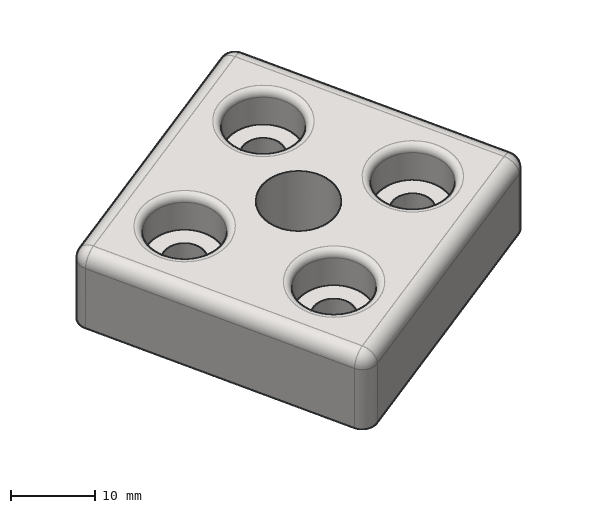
import cadquery as cq

side = 40.0
height = 12.0
edge_radius = 2.0

center_hole_diameter = 10.1

screw_spacing = side / 2
screw_hole_diameter = 5.5
counterbore_diameter = 10.0
counterbore_depth = 5.6
rim_radius = 1.0


def rounded_block():
    """Block standing on Z = 0 with rounded vertical and top edges."""
    block = cq.Workplane("XY").box(side, side, height, centered=(True, True, False))
    block = block.edges("|Z").fillet(edge_radius)
    return block.faces(">Z").edges().fillet(edge_radius)


def screw_hole_cutter():
    """Screw hole and counterbore, flaring out in a convex rim at the top face."""
    screw_radius = screw_hole_diameter / 2
    bore_radius = counterbore_diameter / 2
    floor = height - counterbore_depth
    return (
        cq.Workplane("XZ")
        .lineTo(screw_radius, 0)
        .lineTo(screw_radius, floor)
        .lineTo(bore_radius, floor)
        .lineTo(bore_radius, height - rim_radius)
        .radiusArc((bore_radius + rim_radius, height), rim_radius)
        .lineTo(0, height)
        .close()
        .revolve(360, (0, 0, 0), (0, 1, 0))
    )


result = rounded_block()
result = result.cut(cq.Workplane("XY").circle(center_hole_diameter / 2).extrude(height))

for x_sign in (-1, 1):
    for y_sign in (-1, 1):
        center = (x_sign * screw_spacing / 2, y_sign * screw_spacing / 2, 0)
        result = result.cut(screw_hole_cutter().translate(center))